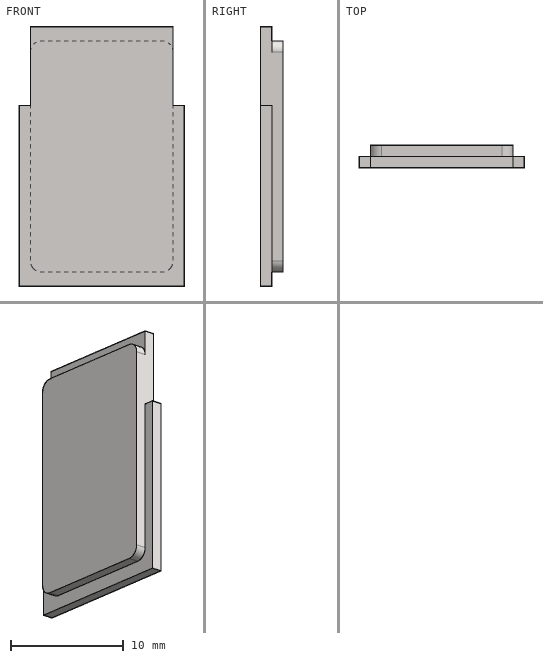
import cadquery as cq

plate_width = 14.66
plate_height = 23.04
plate_thickness = 1.0
shoulder_width = 1.0
neck_height = 7.0
neck_width = plate_width - 2 * shoulder_width
body_height = plate_height - neck_height

pad_width = neck_width
pad_margin = 1.27
pad_height = plate_height - 2 * pad_margin
pad_thickness = 1.0
pad_corner_radius = 1.0


def upright_block(width, thickness, height, front_y, bottom_z):
    """Box centred on X, starting at front_y and bottom_z."""
    block = cq.Workplane("XY").box(width, thickness, height, centered=(True, False, False))
    return block.translate((0, front_y, bottom_z))


def make_plate():
    """Wide body with the narrower neck rising through it to the top."""
    body = upright_block(plate_width, plate_thickness, body_height, 0, 0)
    neck = upright_block(neck_width, plate_thickness, plate_height, 0, 0)
    return body.union(neck)


def make_pad():
    """Pad with its four corners rounded about the Y direction."""
    pad = upright_block(pad_width, pad_thickness, pad_height, plate_thickness, pad_margin)
    return pad.edges("|Y").fillet(pad_corner_radius)


result = make_plate().union(make_pad())